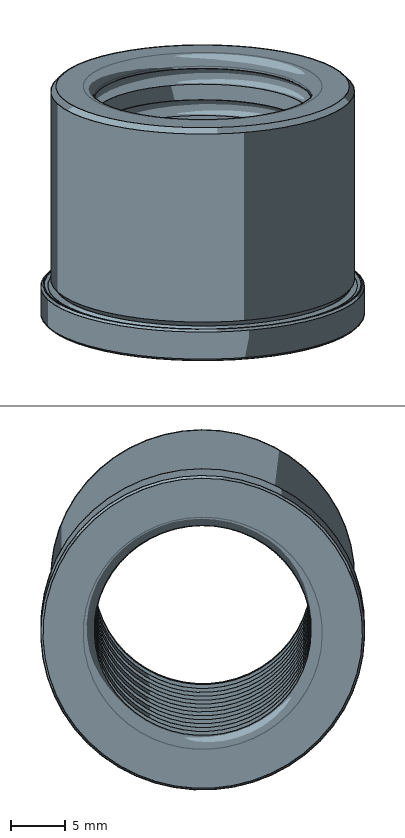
import cadquery as cq
import math

height = 22.0
flange_radius = 14.9
flange_height = 3.0
body_radius = 13.98
bore_radius = 9.98

flange_chamfer = 0.2
body_top_chamfer = 0.48
bore_round = 1.0

relief_rim_radius = 14.57
relief_slope_radius = 14.25
relief_slope_depth = 0.12
relief_bottom_radius = 13.92
relief_depth = 0.27
neck_radius = 13.6
foot_chamfer_height = 0.48

groove_count = 7
groove_radius = 0.75
groove_end_distance = 2.0
groove_pitch = (height - 2 * groove_end_distance) / (groove_count - 1)


def make_grooved_bush():
    """Revolve the whole section: flanged outside, rounded and grooved bore."""
    round_outer = bore_radius + bore_round
    round_middle = round_outer - bore_round * math.sin(math.pi / 4)
    round_inset = bore_round * (1 - math.sin(math.pi / 4))

    profile = (
        cq.Workplane("XZ")
        .moveTo(round_outer, 0)
        .lineTo(flange_radius - flange_chamfer, 0)
        .lineTo(flange_radius, flange_chamfer)
        .lineTo(flange_radius, flange_height - flange_chamfer)
        .lineTo(flange_radius - flange_chamfer, flange_height)
        .lineTo(relief_rim_radius, flange_height)
    )

    profile = profile.lineTo(relief_slope_radius, flange_height - relief_slope_depth).threePointArc(
        (relief_bottom_radius, flange_height - relief_depth),
        (neck_radius, flange_height),
    )

    profile = (
        profile.lineTo(body_radius, flange_height + foot_chamfer_height)
        .lineTo(body_radius, height - body_top_chamfer)
        .lineTo(body_radius - body_top_chamfer, height)
        .lineTo(round_outer, height)
        .threePointArc((round_middle, height - round_inset), (bore_radius, height - bore_round))
    )

    for index in range(groove_count):
        center = height - groove_end_distance - index * groove_pitch
        profile = profile.lineTo(bore_radius, center + groove_radius).threePointArc(
            (bore_radius + groove_radius, center),
            (bore_radius, center - groove_radius),
        )

    profile = (
        profile.lineTo(bore_radius, bore_round)
        .threePointArc((round_middle, round_inset), (round_outer, 0))
        .close()
    )
    return profile.revolve(360, (0, 0, 0), (0, 1, 0))


result = make_grooved_bush()